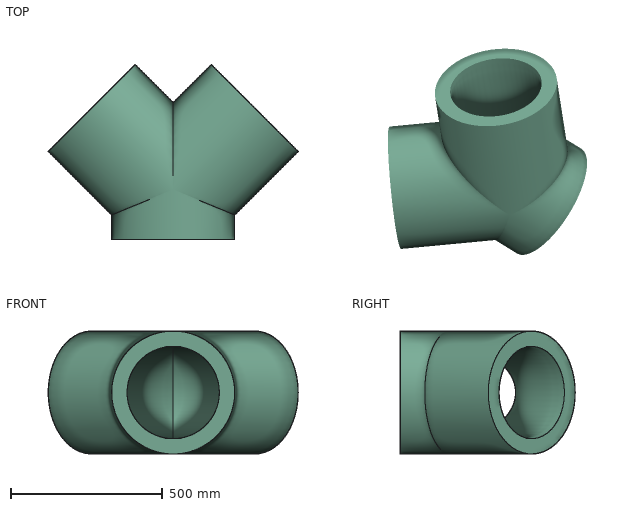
import cadquery as cq
import math

overall_width = 826.0
overall_depth = 578.0
outer_diameter = 406.5
bore_diameter = 305.0
branch_angle = 45.0

tilt = math.radians(branch_angle)
outer_radius = outer_diameter / 2
branch_length = (overall_width / 2 - outer_radius * math.cos(tilt)) / math.sin(tilt)
branch_reach = branch_length * math.cos(tilt) + outer_radius * math.sin(tilt)
stem_length = overall_depth - branch_reach

stem_axis = cq.Vector(0, -1, 0)
left_axis = cq.Vector(-math.sin(tilt), math.cos(tilt), 0)
right_axis = cq.Vector(math.sin(tilt), math.cos(tilt), 0)
legs = [
    (stem_length, stem_axis),
    (branch_length, left_axis),
    (branch_length, right_axis),
]


def wye(diameter):
    """Join a solid cylinder along each leg, starting from the common centre."""
    cylinders = [
        cq.Solid.makeCylinder(diameter / 2, length, cq.Vector(0, 0, 0), axis)
        for length, axis in legs
    ]
    body = cq.Workplane(cylinders[0])
    for cylinder in cylinders[1:]:
        body = body.union(cq.Workplane(cylinder))
    return body


result = wye(outer_diameter).cut(wye(bore_diameter))